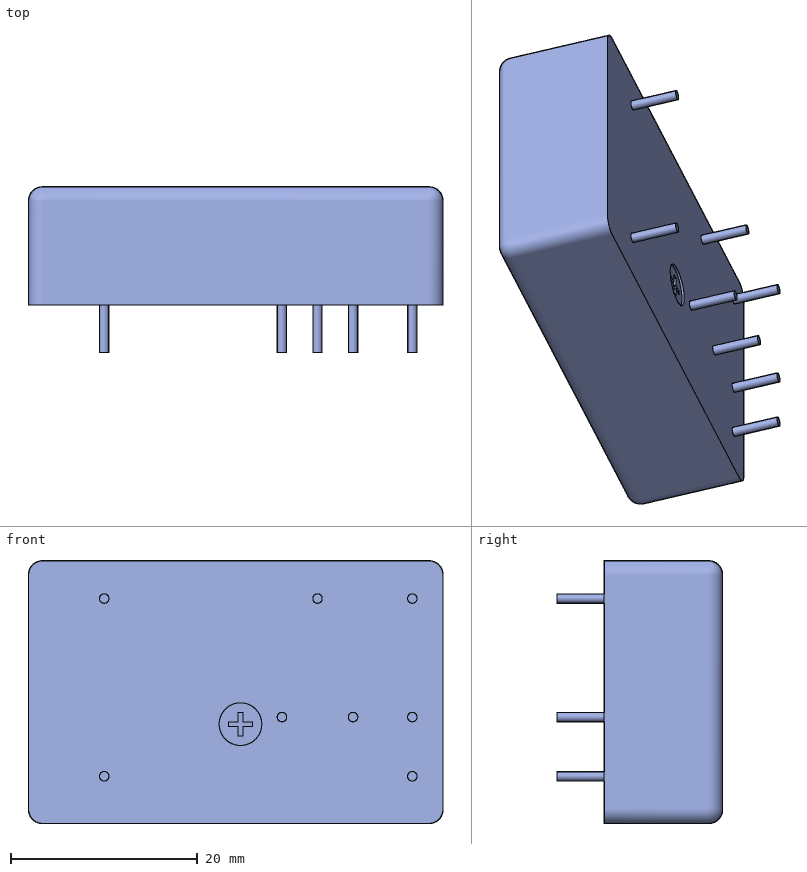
import cadquery as cq

case_width = 44.45
case_depth = 12.7
case_height = 28.19
edge_radius = 1.524

pin_diameter = 1.016
pin_length = 5.08
half_pitch = 2.54 / 2
right_column_margin = 3.302
top_row_margin = 4.064
right_column_x = case_width / 2 - right_column_margin
top_row_z = case_height / 2 - top_row_margin
middle_row_z = top_row_z - 10 * half_pitch
bottom_row_z = top_row_z - 15 * half_pitch
left_column_x = right_column_x - 26 * half_pitch
pin_positions = [
    (left_column_x, top_row_z),
    (right_column_x - 8 * half_pitch, top_row_z),
    (right_column_x, top_row_z),
    (right_column_x - 11 * half_pitch, middle_row_z),
    (right_column_x - 5 * half_pitch, middle_row_z),
    (right_column_x, middle_row_z),
    (left_column_x, bottom_row_z),
    (right_column_x, bottom_row_z),
]

adjuster_x = 0.508
adjuster_z = -3.429
recess_diameter = 4.572
recess_depth = 0.254
slot_length = 2.54
slot_width = 0.508
slot_depth = 0.762


def front_plane(x, y, z):
    """Sketch plane with local x along X, local y along Z and normal toward -Y."""
    return cq.Workplane("XZ", origin=(x, y, z))


def make_case():
    """Block with rounded edges everywhere except around its flat front face."""
    block = front_plane(0, 0, 0).rect(case_width, case_height).extrude(-case_depth)
    rounded_corners = block.edges("|Y").fillet(edge_radius)
    return rounded_corners.faces(">Y").edges().fillet(edge_radius)


def make_pins():
    """Straight round pins; each starts at the front face."""
    pin_centers = front_plane(0, 0, 0).pushPoints(pin_positions)
    return pin_centers.circle(pin_diameter / 2).extrude(pin_length)


def make_adjuster_cut():
    """Round recess joined to the two crossing slots below it."""
    front_center = front_plane(adjuster_x, 0, adjuster_z)
    floor_center = front_plane(adjuster_x, recess_depth, adjuster_z)
    cut = front_center.circle(recess_diameter / 2).extrude(-recess_depth)
    for arm_size in ((slot_length, slot_width), (slot_width, slot_length)):
        slot = floor_center.rect(*arm_size).extrude(-slot_depth)
        cut = cut.union(slot)
    return cut


result = make_case().cut(make_adjuster_cut()).union(make_pins())